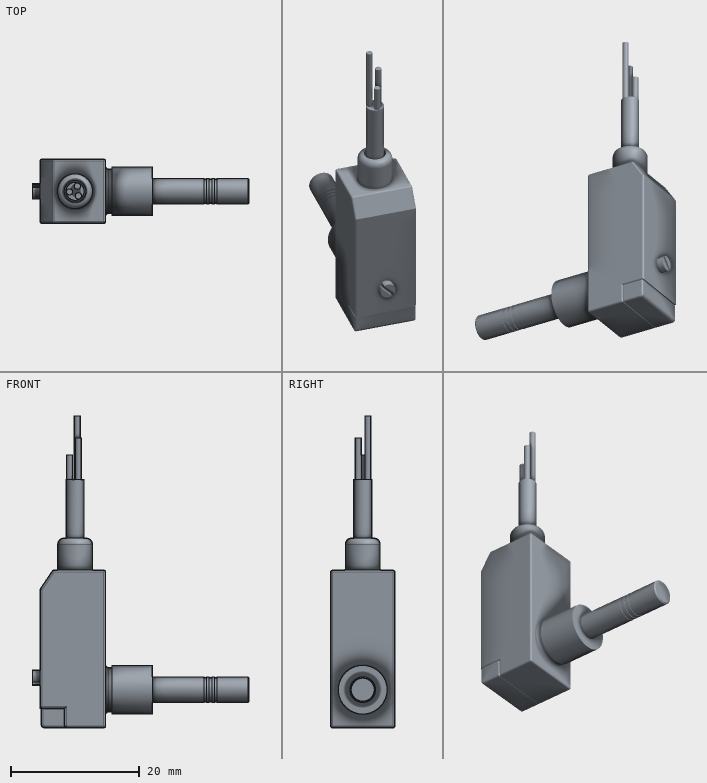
import cadquery as cq
import math

body_width = 10.0
body_length = 10.2
body_height = 24.5
slope_run = 2.0
slope_drop = 2.95
edge_round = 0.3

notch_length = 3.8
notch_height = 3.0
cover_setback = 0.15
cover_bottom_round = 0.55
cover_joint_round = 0.15

screw_radius = 1.2
screw_length = 1.2
screw_height = 7.75
screw_slot_width = 0.6
screw_slot_angle = 45

spigot_height = 5.9
neck_radius = 3.45
neck_length = 0.95
neck_foot_round = 0.45
collar_radius = 3.8
collar_end = 17.5
rod_radius = 2.0
rod_end = 32.55
rod_tip_chamfer = 0.2
groove_start = 25.5
groove_width = 0.415
groove_pitch = 0.83
groove_depth = 0.1
groove_count = 3

cable_x = 5.45
boot_radius = 2.7
boot_top = 29.5
boot_bore_radius = 1.7
boot_bore_depth = 1.0
boot_foot_round = 0.15
cable_radius = 1.4
cable_top = 38.6

wire_radius = 0.5
wire_circle_radius = 0.85
wire_tops = (48.55, 42.5, 45.1)
first_wire_angle = 66


def make_body():
    profile = [
        (0, notch_height),
        (0, body_height - slope_drop),
        (slope_run, body_height),
        (body_length, body_height),
        (body_length, 0),
        (notch_length, 0),
        (notch_length, notch_height),
    ]
    block = cq.Workplane("XZ").polyline(profile).close().extrude(body_width / 2, both=True)
    side_edges = block.faces("<Y or >Y").edges()
    back_edges = block.faces(">X").edges("|Y")
    ridge_edge = block.faces(">Z").edges("|Y and <X")
    return block.newObject(side_edges.vals() + back_edges.vals() + ridge_edge.vals()).fillet(edge_round)


def make_cover():
    length = notch_length - cover_setback
    block = cq.Workplane("XY").box(length, body_width, notch_height, centered=(False, True, False))
    block = block.translate((cover_setback, 0, 0))
    block = block.faces("<X").edges("<Z").fillet(cover_bottom_round)
    block = block.faces("<X").edges("|Z").fillet(edge_round)
    joint_edges = block.faces(">Z or >X").edges("not(<Z)")
    return joint_edges.fillet(cover_joint_round)


def make_screw():
    embed = 0.5
    screw = cq.Workplane("YZ").circle(screw_radius).extrude(screw_length + embed)
    slot = cq.Workplane("YZ").rect(4 * screw_radius, screw_slot_width).extrude(screw_length)
    slot = slot.rotate((0, 0, 0), (1, 0, 0), screw_slot_angle)
    return screw.cut(slot).translate((-screw_length, 0, screw_height))


def make_spigot():
    neck_end = body_length + neck_length
    profile = (
        cq.Workplane("XY")
        .moveTo(body_length - edge_round, 0)
        .lineTo(body_length - edge_round, neck_radius + neck_foot_round)
        .lineTo(body_length, neck_radius + neck_foot_round)
        .radiusArc((body_length + neck_foot_round, neck_radius), -neck_foot_round)
        .lineTo(neck_end, neck_radius)
        .lineTo(neck_end, collar_radius)
        .lineTo(collar_end, collar_radius)
        .lineTo(collar_end, rod_radius)
        .lineTo(rod_end - rod_tip_chamfer, rod_radius)
        .lineTo(rod_end, rod_radius - rod_tip_chamfer)
        .lineTo(rod_end, 0)
        .close()
    )
    spigot = profile.revolve(360, (0, 0, 0), (1, 0, 0))
    for index in range(groove_count):
        ring = (
            cq.Workplane("YZ", origin=(groove_start + index * groove_pitch, 0, 0))
            .circle(collar_radius)
            .circle(rod_radius - groove_depth)
            .extrude(groove_width)
        )
        spigot = spigot.cut(ring)
    return spigot.translate((0, 0, spigot_height))


def make_boot():
    shoulder = boot_radius - boot_bore_radius
    bore_floor = boot_top - boot_bore_depth
    profile = (
        cq.Workplane("XZ")
        .moveTo(0, body_height - edge_round)
        .lineTo(boot_radius + boot_foot_round, body_height - edge_round)
        .lineTo(boot_radius + boot_foot_round, body_height)
        .radiusArc((boot_radius, body_height + boot_foot_round), boot_foot_round)
        .lineTo(boot_radius, boot_top - shoulder)
        .radiusArc((boot_bore_radius, boot_top), -shoulder)
        .lineTo(boot_bore_radius, bore_floor)
        .lineTo(0, bore_floor)
        .close()
    )
    return profile.revolve(360, (0, 0, 0), (0, 1, 0)).translate((cable_x, 0, 0))


def make_cable():
    cable = cq.Workplane("XY", origin=(cable_x, 0, body_height)).circle(cable_radius)
    cable = cable.extrude(cable_top - body_height)
    for index, wire_top in enumerate(wire_tops):
        angle = math.radians(first_wire_angle + index * 360 / len(wire_tops))
        wire_x = cable_x + wire_circle_radius * math.cos(angle)
        wire_y = wire_circle_radius * math.sin(angle)
        wire = cq.Workplane("XY", origin=(wire_x, wire_y, body_height)).circle(wire_radius)
        cable = cable.union(wire.extrude(wire_top - body_height))
    return cable


result = make_body().union(make_cover()).union(make_screw()).union(make_spigot())
result = result.union(make_boot()).union(make_cable())